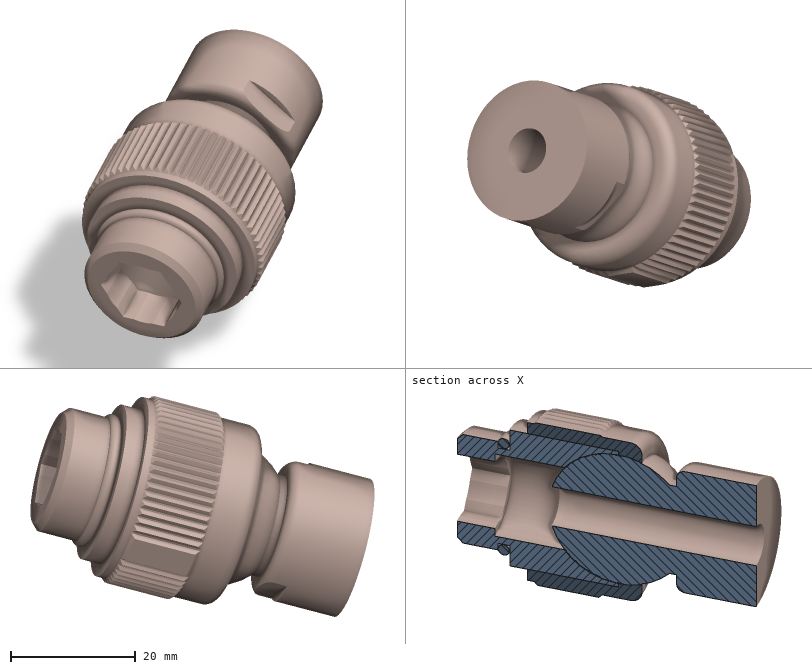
import cadquery as cq
import math


SPIGOT_RADIUS = 10.25
SPIGOT_CHAMFER = 1.05
FLANGE_RADIUS = 12.85
FLANGE_FRONT = 9.0
HEX_APOTHEM = 6.05
HEX_TURN = 3.0
HEX_DEPTH = 6.5
HEX_RELIEF_RADIUS = 6.25
CAVITY_RADIUS = 7.7

ORING_SECTION_RADIUS = 1.0
ORING_RADIUS = 10.0
ORING_CENTRE = FLANGE_FRONT - ORING_SECTION_RADIUS

BALL_RADIUS = 12.05
BALL_CENTRE = 27.7
BORE_RADIUS = 3.65
NECK_RADIUS = 8.35
HEAD_RADIUS = 11.45
HEAD_FRONT = 37.55
HEAD_FILLET = 1.55
STEM_REAR = 51.3
FLAT_OFFSET = 10.2
FLAT_LENGTH = 3.65
FLAT_TURN = 40.0

NUT_RADIUS = 14.9
NUT_FRONT = 12.0
NUT_REAR = 31.7
NUT_FILLET = 2.0
KNURL_FRONT = 13.25
KNURL_REAR = 24.85
TOOTH_COUNT = 65
TOOTH_TIP_RADIUS = 15.5
TOOTH_HALF_BASE = 0.59
TOOTH_PITCH = 360 / TOOTH_COUNT
KNURL_TURN = TOOTH_PITCH / 4
PAD_TEETH = 4
PAD_HEIGHT = 15.45
PAD_HALF_TOP = 2.3
PAD_HALF_BASE = 2.65


def turned(profile):
    """Full turn about the Y axis of a closed profile drawn with X as the radius."""
    return profile.close().revolve(360, (0, 0, 0), (0, 1, 0))


def cylinder(radius, start, end):
    """Cylinder on the Y axis between two Y positions."""
    return cq.Workplane("XZ", origin=(0, start, 0)).circle(radius).extrude(start - end)


def ball_reach(radius):
    """Axial distance from the ball centre at which the ball surface has a given radius."""
    return math.sqrt(BALL_RADIUS**2 - radius**2)


def oring():
    return (
        cq.Workplane("XY")
        .center(ORING_RADIUS, ORING_CENTRE)
        .circle(ORING_SECTION_RADIUS)
        .revolve(360, (-ORING_RADIUS, 0, 0), (-ORING_RADIUS, 1, 0))
    )


def hex_socket():
    corner_diameter = 2 * HEX_APOTHEM / math.cos(math.pi / 6)
    hexagon = (
        cq.Workplane("XZ")
        .polygon(6, corner_diameter)
        .extrude(-HEX_DEPTH)
        .rotate((0, 0, 0), (0, 1, 0), -HEX_TURN)
    )
    return hexagon.union(cylinder(HEX_RELIEF_RADIUS, 0, HEX_DEPTH))


def insert():
    groove_front = ORING_CENTRE - ORING_SECTION_RADIUS
    groove_radius = ORING_RADIUS - ORING_SECTION_RADIUS
    cup_middle = (BALL_RADIUS + CAVITY_RADIUS) / 2
    body = turned(
        cq.Workplane("XY")
        .lineTo(SPIGOT_RADIUS - SPIGOT_CHAMFER, 0)
        .lineTo(SPIGOT_RADIUS, SPIGOT_CHAMFER)
        .lineTo(SPIGOT_RADIUS, groove_front)
        .lineTo(groove_radius, groove_front)
        .lineTo(groove_radius, FLANGE_FRONT)
        .lineTo(FLANGE_RADIUS, FLANGE_FRONT)
        .lineTo(FLANGE_RADIUS, BALL_CENTRE)
        .lineTo(BALL_RADIUS, BALL_CENTRE)
        .threePointArc(
            (cup_middle, BALL_CENTRE - ball_reach(cup_middle)),
            (CAVITY_RADIUS, BALL_CENTRE - ball_reach(CAVITY_RADIUS)),
        )
        .lineTo(CAVITY_RADIUS, HEX_DEPTH)
        .lineTo(0, HEX_DEPTH)
    )
    return body.cut(hex_socket())


def ball_stem():
    fillet_reach = HEAD_FILLET * (1 - math.sqrt(0.5))
    stem = turned(
        cq.Workplane("XY")
        .moveTo(BORE_RADIUS, BALL_CENTRE - ball_reach(BORE_RADIUS))
        .threePointArc(
            (BALL_RADIUS, BALL_CENTRE),
            (NECK_RADIUS, BALL_CENTRE + ball_reach(NECK_RADIUS)),
        )
        .lineTo(NECK_RADIUS, HEAD_FRONT)
        .lineTo(HEAD_RADIUS - HEAD_FILLET, HEAD_FRONT)
        .threePointArc(
            (HEAD_RADIUS - fillet_reach, HEAD_FRONT + fillet_reach),
            (HEAD_RADIUS, HEAD_FRONT + HEAD_FILLET),
        )
        .lineTo(HEAD_RADIUS, STEM_REAR)
        .lineTo(BORE_RADIUS, STEM_REAR)
    )
    flat_depth = HEAD_RADIUS - FLAT_OFFSET
    for side in (1, -1):
        flat = (
            cq.Workplane("XY")
            .box(2 * HEAD_RADIUS, FLAT_LENGTH, 2 * flat_depth)
            .translate((0, HEAD_FRONT + FLAT_LENGTH / 2, side * (FLAT_OFFSET + flat_depth)))
            .rotate((0, 0, 0), (0, 1, 0), FLAT_TURN)
        )
        stem = stem.cut(flat)
    return stem


def ring_point(angle, radius, sideways=0.0):
    """Point at a radius along a direction turned from +Z towards +X, then moved sideways."""
    sine = math.sin(math.radians(angle))
    cosine = math.cos(math.radians(angle))
    return (radius * sine + sideways * cosine, radius * cosine - sideways * sine)


def knurl():
    """Ring of pointed teeth, interrupted by a flat pad opposite the first tooth gap."""
    half_angle = math.asin(TOOTH_HALF_BASE / NUT_RADIUS)
    base_radius = NUT_RADIUS * math.cos(half_angle)
    pad_angle = KNURL_TURN + 180
    first_tooth = pad_angle + (PAD_TEETH + 1) / 2 * TOOTH_PITCH

    outline = []
    for index in range(TOOTH_COUNT - PAD_TEETH):
        angle = first_tooth + index * TOOTH_PITCH
        outline.append(ring_point(angle, base_radius, -TOOTH_HALF_BASE))
        outline.append(ring_point(angle, TOOTH_TIP_RADIUS))
        outline.append(ring_point(angle, base_radius, TOOTH_HALF_BASE))

    pad_base_radius = math.sqrt(NUT_RADIUS**2 - PAD_HALF_BASE**2)
    outline.append(ring_point(pad_angle, pad_base_radius, -PAD_HALF_BASE))
    outline.append(ring_point(pad_angle, PAD_HEIGHT, -PAD_HALF_TOP))
    outline.append(ring_point(pad_angle, PAD_HEIGHT, PAD_HALF_TOP))
    outline.append(ring_point(pad_angle, pad_base_radius, PAD_HALF_BASE))

    teeth = (
        cq.Workplane("XZ", origin=(0, KNURL_FRONT, 0))
        .polyline(outline)
        .close()
        .extrude(KNURL_FRONT - KNURL_REAR)
    )
    pad_corner_radius = math.hypot(PAD_HEIGHT, PAD_HALF_TOP)
    run_out = pad_corner_radius - NUT_RADIUS
    envelope = (
        cylinder(pad_corner_radius, KNURL_FRONT, KNURL_REAR)
        .faces("<Y or >Y")
        .edges()
        .chamfer(run_out)
    )
    return teeth.intersect(envelope)


def nut():
    fillet_reach = NUT_FILLET * (1 - math.sqrt(0.5))
    seat_rise = NUT_REAR - BALL_CENTRE
    seat_radius = math.sqrt(BALL_RADIUS**2 - seat_rise**2)
    seat_middle = math.sqrt(BALL_RADIUS**2 - (seat_rise / 2) ** 2)
    sleeve = turned(
        cq.Workplane("XY")
        .moveTo(FLANGE_RADIUS, NUT_FRONT)
        .lineTo(NUT_RADIUS, NUT_FRONT)
        .lineTo(NUT_RADIUS, NUT_REAR - NUT_FILLET)
        .threePointArc(
            (NUT_RADIUS - fillet_reach, NUT_REAR - fillet_reach),
            (NUT_RADIUS - NUT_FILLET, NUT_REAR),
        )
        .lineTo(seat_radius, NUT_REAR)
        .threePointArc(
            (seat_middle, BALL_CENTRE + seat_rise / 2),
            (BALL_RADIUS, BALL_CENTRE),
        )
        .lineTo(FLANGE_RADIUS, BALL_CENTRE)
    )
    insert_bore = cylinder(FLANGE_RADIUS, KNURL_FRONT, KNURL_REAR)
    return sleeve.union(knurl().cut(insert_bore))


result = cq.Compound.makeCompound([
    insert().val(),
    oring().val(),
    nut().val(),
    ball_stem().val(),
])